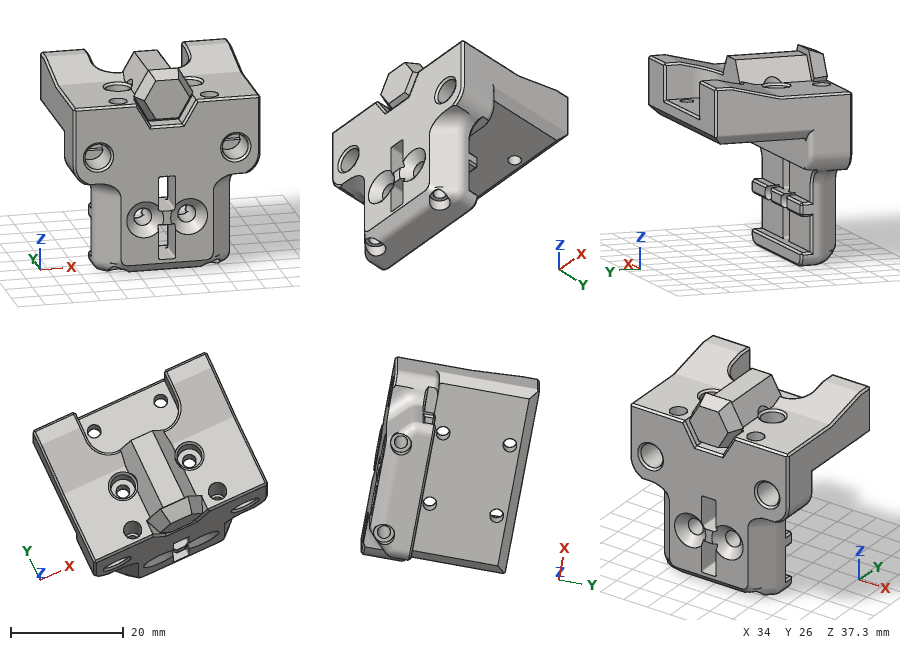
import cadquery as cq
import math

WIDTH = 34.0
DEPTH = 26.0
DECK_Z = 32.0
WING_Z = 34.3
RAMP_START_Y = 13.6
RAMP_END_Y = 22.9
EDGE = 0.4

SLAB_DEPTH = 8.1
SHOULDER_Z = 17.2
SHOULDER_RADIUS = 4.0
COLUMN_HALF = 12.5
COLUMN_CHAMFER = 4.1
COLUMN_ROUND = 2.0
FLARE_RADIUS = 3.0
FLARE_OVERLAP = 0.03
BOTTOM_CHAMFER = 2.0
SHOULDER_CENTER_X = WIDTH / 2 - SHOULDER_RADIUS
SHOULDER_CENTER_Z = SHOULDER_Z + SHOULDER_RADIUS
ARC_SPACING_X = COLUMN_HALF + FLARE_RADIUS - SHOULDER_CENTER_X
ARC_SPACING_Z = math.sqrt((SHOULDER_RADIUS + FLARE_RADIUS) ** 2 - ARC_SPACING_X ** 2)
FLARE_TOP_Z = SHOULDER_CENTER_Z - ARC_SPACING_Z + FLARE_RADIUS + FLARE_OVERLAP
SHOULDER_SHARE = SHOULDER_RADIUS / (SHOULDER_RADIUS + FLARE_RADIUS)
SHOULDER_END_X = SHOULDER_CENTER_X + ARC_SPACING_X * SHOULDER_SHARE
SHOULDER_END_Z = SHOULDER_CENTER_Z - ARC_SPACING_Z * SHOULDER_SHARE
SLAB_REAR_ROUND = 0.9

SHELF_Z = 23.9
SHELF_CHAMFER = 1.6
SHELF_EDGE_ROUND = 0.6
SHELF_CORNER_ROUND = 0.6

CHANNEL_FLOOR_Y = 6.2
CHANNEL_HEIGHT = 6.45
CHANNEL_PITCH = 9.0
FOOT_HEIGHT = 2.7
CHANNEL_BOTTOMS = (FOOT_HEIGHT, FOOT_HEIGHT + CHANNEL_PITCH)
SLOT_WIDTH = 3.1
SLOT_ROUND = 0.4

POCKET_HALF = 8.7
POCKET_FRONT_Y = 16.6
POCKET_FLOOR_Z = 27.7
POCKET_RADIUS = 4.0

HEX_Z = 32.58
HEX_APOTHEM = 4.68
HEX_COS = math.cos(math.pi / 6)
PLUG_LENGTH = 3.0
PLUG_FRONT_Y = -0.04
PLUG_DRAFT = 20.0
NOTCH_CLEARANCE = 0.25
NOTCH_DEPTH = 3.1
RIDGE_HALF_TOP = 2.1
RIDGE_TOP_Z = 36.24

SCREW_DIAMETER = 2.4
SCREW_X = 6.5
SCREW_FRONT_Y = 10.5
SCREW_REAR_Y = 22.55
SCREW_HEAD_DIAMETER = 4.4
SCREW_HEAD_FLOOR_Z = POCKET_FLOOR_Z
SINK_DIAMETER = 3.2
SINK_HEAD_DIAMETER = 6.7
SINK_X = 4.0
SINK_Z = 10.35
INSERT_DIAMETER = 4.7
INSERT_X = 12.5
INSERT_Z = 22.65
INSERT_DEPTH = 6.0
GROOVE_HEIGHT = 1.3
GROOVE_DEPTH = 1.0
LONG_X = 8.3
LONG_Y = 2.6
LONG_DIAMETER = 2.3
LONG_TOP_DIAMETER = 3.2
LONG_TOP_FLOOR_Z = 22.0
LONG_FOOT_DIAMETER = 3.7
LONG_FOOT_DEPTH = 2.2

MARGIN = 1.0
TINY = 0.05


def box(x0, x1, y0, y1, z0, z1):
    return cq.Workplane("XY").box(x1 - x0, y1 - y0, z1 - z0, centered=False).translate((x0, y0, z0))


def near(x, y, z):
    """Pick the edges whose centre lies at the given point."""
    return cq.selectors.BoxSelector((x - TINY, y - TINY, z - TINY), (x + TINY, y + TINY, z + TINY))


def both_sides(shape):
    return shape.union(shape.mirror("YZ"))


def cylinder(x, y, z0, z1, diameter):
    return cq.Workplane("XY", origin=(x, y, z0)).circle(diameter / 2).extrude(z1 - z0)


def front_cylinder(x, z, y0, y1, diameter):
    """Cylinder along +Y from y0 to y1."""
    return cq.Workplane("XZ", origin=(x, y0, z)).circle(diameter / 2).extrude(y0 - y1)


def front_cone(x, z, diameter, end_diameter):
    """45 degree countersink into the front face."""
    depth = (diameter - end_diameter) / 2
    return cq.Workplane("XY").add(
        cq.Solid.makeCone(diameter / 2, end_diameter / 2, depth, cq.Vector(x, 0, z), cq.Vector(0, 1, 0)))


def slab():
    """Full-height front slab with rounded shoulders and broken edges above them."""
    half = (
        cq.Workplane("XZ")
        .moveTo(0, 0)
        .lineTo(SHOULDER_END_X, 0)
        .lineTo(SHOULDER_END_X, SHOULDER_END_Z)
        .radiusArc((WIDTH / 2, SHOULDER_CENTER_Z), -SHOULDER_RADIUS)
        .lineTo(WIDTH / 2, DECK_Z)
        .lineTo(0, DECK_Z)
        .close()
        .extrude(-SLAB_DEPTH)
    )
    rear = cq.selectors.BoxSelector((SHOULDER_END_X + TINY, SLAB_DEPTH - TINY, SHOULDER_END_Z),
                                    (WIDTH, SLAB_DEPTH + TINY, DECK_Z - TINY))
    half = half.edges(rear).fillet(SLAB_REAR_ROUND)
    front = cq.selectors.BoxSelector((SHOULDER_END_X + TINY, -TINY, SHOULDER_END_Z),
                                     (WIDTH, TINY, DECK_Z - TINY))
    return both_sides(half.edges(front).chamfer(EDGE))


def column_relief():
    """Space beside the right half of the column, rounded over where the column flares."""
    face_half = COLUMN_HALF - COLUMN_CHAMFER
    half_turn = math.pi / 8
    tangent = COLUMN_ROUND * math.tan(half_turn)
    on_chamfer = tangent * math.sqrt(0.5)
    round_center = (COLUMN_HALF - COLUMN_ROUND, COLUMN_CHAMFER + tangent)
    mid = (round_center[0] + COLUMN_ROUND * math.cos(half_turn),
           round_center[1] - COLUMN_ROUND * math.sin(half_turn))
    relief = (
        cq.Workplane("XY", origin=(0, 0, -MARGIN))
        .moveTo(face_half - MARGIN, -MARGIN)
        .lineTo(COLUMN_HALF - on_chamfer, COLUMN_CHAMFER - on_chamfer)
        .threePointArc(mid, (COLUMN_HALF, COLUMN_CHAMFER + tangent))
        .lineTo(COLUMN_HALF, SLAB_DEPTH + MARGIN)
        .lineTo(WIDTH, SLAB_DEPTH + MARGIN)
        .lineTo(WIDTH, -MARGIN)
        .close()
        .extrude(FLARE_TOP_Z + MARGIN)
    )
    wall = cq.selectors.BoxSelector((0, -MARGIN / 2, FLARE_TOP_Z - TINY),
                                    (COLUMN_HALF + TINY, SLAB_DEPTH, FLARE_TOP_Z + TINY))
    return relief.edges(wall).fillet(FLARE_RADIUS)


def round_column_foot(body):
    """Chamfer the front edge of the foot, then round its corners and underside."""
    low = -TINY
    foot_front = cq.selectors.BoxSelector((-COLUMN_HALF, -TINY, low), (COLUMN_HALF, TINY, TINY))
    body = body.edges(foot_front).chamfer(BOTTOM_CHAMFER)
    corner_x = COLUMN_HALF - COLUMN_CHAMFER + BOTTOM_CHAMFER / 2
    for side in (-1, 1):
        corner = near(side * corner_x, BOTTOM_CHAMFER / 2, BOTTOM_CHAMFER / 2)
        body = body.edges(corner).fillet(COLUMN_ROUND)
    underside = cq.selectors.BoxSelector((-WIDTH, 0, low), (WIDTH, SLAB_DEPTH - TINY, TINY))
    return body.edges(underside).fillet(COLUMN_ROUND)


def cut_channels(body):
    """Cut the rear of the column back to the channel floor, and chamfer the rear edges left."""
    low_z = CHANNEL_BOTTOMS[0]
    high_z = CHANNEL_BOTTOMS[1] + CHANNEL_HEIGHT
    body = body.cut(box(-WIDTH, WIDTH, CHANNEL_FLOOR_Y, SLAB_DEPTH + MARGIN, low_z, high_z))
    foot_top = cq.selectors.BoxSelector((-WIDTH, CHANNEL_FLOOR_Y + TINY, low_z - TINY),
                                        (WIDTH, SLAB_DEPTH + TINY, low_z + TINY))
    body = body.edges(foot_top).chamfer(EDGE)
    body = body.edges(near(0, SLAB_DEPTH, 0)).chamfer(EDGE)
    mid_z = (low_z + FLARE_TOP_Z - FLARE_RADIUS) / 2
    for side in (-1, 1):
        corner = near(side * COLUMN_HALF, CHANNEL_FLOOR_Y, mid_z)
        body = body.edges(corner).chamfer(EDGE)
    return body


def middle_rib():
    """Rib between the two channels."""
    rib = box(-COLUMN_HALF, COLUMN_HALF, CHANNEL_FLOOR_Y - EDGE, SLAB_DEPTH,
              CHANNEL_BOTTOMS[0] + CHANNEL_HEIGHT, CHANNEL_BOTTOMS[1])
    rib = rib.edges("|Y").chamfer(EDGE)
    return rib.faces(">Y").chamfer(EDGE)


def cut_slots(body):
    """Slots from the front face through to the channels."""
    for z in CHANNEL_BOTTOMS:
        slot = box(-SLOT_WIDTH / 2, SLOT_WIDTH / 2, -MARGIN, SLAB_DEPTH, z, z + CHANNEL_HEIGHT)
        body = body.cut(slot.edges("|Y").fillet(SLOT_ROUND))
    return body


def shelf():
    """Shelf behind the slab, with a ramp rising to the wing height."""
    front_y = SLAB_DEPTH - SLAB_REAR_ROUND
    block = (
        cq.Workplane("YZ", origin=(-WIDTH / 2, 0, 0))
        .moveTo(front_y, SHELF_Z)
        .lineTo(front_y, DECK_Z)
        .lineTo(RAMP_START_Y, DECK_Z)
        .lineTo(RAMP_END_Y, WING_Z)
        .lineTo(DEPTH, WING_Z)
        .lineTo(DEPTH, SHELF_Z)
        .close()
        .extrude(WIDTH)
    )
    block = block.faces("<Z").edges("|Y or >Y").chamfer(SHELF_CHAMFER)
    block = block.edges("|Z and >Y").chamfer(EDGE)
    chamfer_top_z = SHELF_Z + SHELF_CHAMFER
    mid_y = (front_y + DEPTH - EDGE) / 2
    for side in (-1, 1):
        block = block.edges(near(side * WIDTH / 2, mid_y, chamfer_top_z)).fillet(SHELF_EDGE_ROUND)
    return block


def cut_pocket(body):
    """U-shaped pocket, open at the rear, with rounded front corners and chamfered edges."""
    pocket = box(-POCKET_HALF, POCKET_HALF, POCKET_FRONT_Y, DEPTH + MARGIN, POCKET_FLOOR_Z, WING_Z + MARGIN)
    pocket = pocket.edges("|Z and <Y").fillet(POCKET_RADIUS)
    body = body.cut(pocket)
    rim = cq.selectors.BoxSelector((-POCKET_HALF - TINY, POCKET_FRONT_Y - TINY, DECK_Z),
                                   (POCKET_HALF + TINY, DEPTH - EDGE, WING_Z + TINY))
    body = body.edges(rim).chamfer(EDGE)
    opening = cq.selectors.BoxSelector((-POCKET_HALF - TINY, DEPTH - TINY, POCKET_FLOOR_Z - TINY),
                                       (POCKET_HALF + TINY, DEPTH + TINY, WING_Z - EDGE))
    return body.edges(opening).chamfer(EDGE)


def hexagon(y, apothem):
    return cq.Workplane("XZ", origin=(0, y, HEX_Z)).polygon(6, 2 * apothem / HEX_COS)


def ridge():
    """Ridge along the deck behind the plug, with sides at 60 degrees."""
    side_run = math.tan(math.pi / 6)
    low_z = POCKET_FLOOR_Z
    half_low = RIDGE_HALF_TOP + (RIDGE_TOP_Z - low_z) * side_run
    return (
        cq.Workplane("XZ", origin=(0, NOTCH_DEPTH, 0))
        .moveTo(-half_low, low_z)
        .lineTo(-RIDGE_HALF_TOP, RIDGE_TOP_Z)
        .lineTo(RIDGE_HALF_TOP, RIDGE_TOP_Z)
        .lineTo(half_low, low_z)
        .close()
        .extrude(NOTCH_DEPTH - POCKET_FRONT_Y)
    )


def hex_plug():
    """Hexagonal plug that tapers towards the front."""
    back_y = PLUG_FRONT_Y + PLUG_LENGTH
    return hexagon(back_y, HEX_APOTHEM).extrude(PLUG_LENGTH, taper=PLUG_DRAFT)


def cut_notch(body):
    """Hexagonal notch that clears the plug, chamfered at the front face."""
    apothem = HEX_APOTHEM + NOTCH_CLEARANCE
    body = body.cut(hexagon(-MARGIN, apothem).extrude(-MARGIN - NOTCH_DEPTH))
    half_width = apothem / HEX_COS
    mouth = cq.selectors.BoxSelector((-half_width, -TINY, HEX_Z - apothem - TINY),
                                     (half_width, TINY, DECK_Z - EDGE - TINY))
    return body.edges(mouth).chamfer(EDGE)


def break_outline_edges(body):
    """Chamfer the front and side edges of the top, and its rear edge."""
    half = WIDTH / 2
    front = cq.selectors.BoxSelector((-half, -TINY, DECK_Z - TINY), (half, TINY, DECK_Z + TINY))
    body = body.edges(front).chamfer(EDGE)
    for side in (-1, 1):
        x = side * half
        top = cq.selectors.BoxSelector((x - TINY, EDGE, DECK_Z - TINY),
                                       (x + TINY, DEPTH - TINY, WING_Z + TINY))
        body = body.edges(top).chamfer(EDGE)
    rear = cq.selectors.BoxSelector((-half, DEPTH - TINY, WING_Z - TINY), (half, DEPTH + TINY, WING_Z + TINY))
    return body.edges(rear).chamfer(EDGE)


def countersinks():
    for side in (-1, 1):
        x = side * SINK_X
        yield front_cylinder(x, SINK_Z, -MARGIN, SLAB_DEPTH + MARGIN, SINK_DIAMETER)
        yield front_cone(x, SINK_Z, SINK_HEAD_DIAMETER, SINK_DIAMETER)


def insert_holes():
    """Blind holes in the front shoulders, each with a groove across its floor."""
    rim_diameter = INSERT_DIAMETER + 2 * EDGE
    for side in (-1, 1):
        x = side * INSERT_X
        yield front_cylinder(x, INSERT_Z, -MARGIN, INSERT_DEPTH, INSERT_DIAMETER)
        yield front_cone(x, INSERT_Z, rim_diameter, INSERT_DIAMETER)
        well = front_cylinder(x, INSERT_Z, INSERT_DEPTH - MARGIN, INSERT_DEPTH + GROOVE_DEPTH, INSERT_DIAMETER)
        bar = box(x - INSERT_DIAMETER, x + INSERT_DIAMETER, 0, SLAB_DEPTH,
                  INSERT_Z - GROOVE_HEIGHT / 2, INSERT_Z + GROOVE_HEIGHT / 2)
        yield well.intersect(bar)


def shelf_holes():
    """Screw holes through the shelf; the front pair is counterbored and its rim chamfered."""
    rim_diameter = SCREW_HEAD_DIAMETER + 2 * EDGE
    for side in (-1, 1):
        x = side * SCREW_X
        for y in (SCREW_FRONT_Y, SCREW_REAR_Y):
            yield cylinder(x, y, SHELF_Z - MARGIN, WING_Z, SCREW_DIAMETER)
        yield cylinder(x, SCREW_FRONT_Y, SCREW_HEAD_FLOOR_Z, DECK_Z, SCREW_HEAD_DIAMETER)
        yield cq.Workplane("XY").add(
            cq.Solid.makeCone(SCREW_HEAD_DIAMETER / 2, rim_diameter / 2, EDGE,
                              cq.Vector(x, SCREW_FRONT_Y, DECK_Z - EDGE)))
        yield cylinder(x, SCREW_FRONT_Y, DECK_Z, RIDGE_TOP_Z, rim_diameter)


def long_holes():
    """Vertical holes through the full height of the slab, wider at both ends."""
    for side in (-1, 1):
        x = side * LONG_X
        yield cylinder(x, LONG_Y, -MARGIN, DECK_Z + MARGIN, LONG_DIAMETER)
        yield cylinder(x, LONG_Y, LONG_TOP_FLOOR_Z, DECK_Z + MARGIN, LONG_TOP_DIAMETER)
        yield cylinder(x, LONG_Y, -MARGIN, LONG_FOOT_DEPTH, LONG_FOOT_DIAMETER)


def build_housing():
    body = slab().cut(both_sides(column_relief()))
    body = round_column_foot(body)
    body = cut_channels(body)
    body = body.union(middle_rib()).union(shelf())
    body = body.edges(near(0, SLAB_DEPTH, SHELF_Z)).fillet(SHELF_CORNER_ROUND)
    body = break_outline_edges(body)
    body = cut_pocket(body)
    body = cut_notch(body)
    body = body.union(ridge())
    body = cut_slots(body)
    for hole in (*countersinks(), *insert_holes(), *shelf_holes(), *long_holes()):
        body = body.cut(hole)
    return body


housing = build_housing()
plug = hex_plug()
result = cq.Compound.makeCompound([housing.val(), plug.val()])